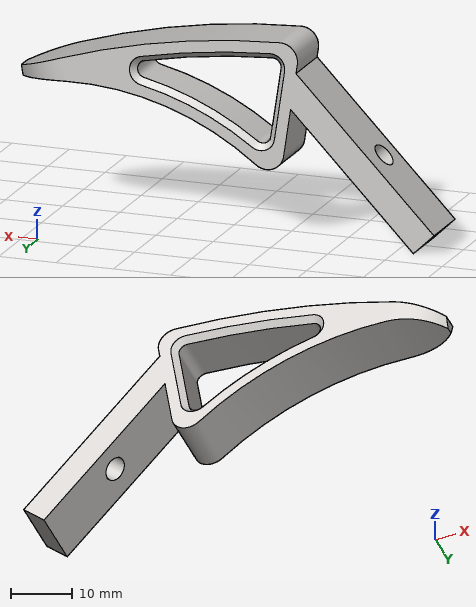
import cadquery as cq
import math

width = 10.0
tip_x = 73.4

back_top = (23.35, 33.7)
crown_middle = (52.8, 30.4)
tip_top = (tip_x, 23.9)
tip_bottom = (tip_x, 21.9)
belly_middle = (50.6, 21.65)
back_bottom = (27.1, 8.8)
head_corner_radius = 3.0

wall = 2.0
window_corner_radius = 2.5
window_chamfer = 1.0

arm_angle = 46.3
arm_thickness = 5.0
arm_length = 35.95
hole_diameter = 4.0
hole_distance = 15.5
hole_y = -0.4

rounding_start = (65.5, 26.7)
rounding_tilt = 19.0
rounding_radius = 11.6


def head_outline():
    """Closed head outline with sharp corners, in the XZ plane."""
    return (
        cq.Workplane("XZ")
        .moveTo(*back_top)
        .threePointArc(crown_middle, tip_top)
        .lineTo(*tip_bottom)
        .threePointArc(belly_middle, back_bottom)
        .close()
    )


def make_head():
    head = head_outline().extrude(width / 2, both=True)
    return head.edges("|Y").edges("<X or <Z").fillet(head_corner_radius)


def make_window():
    """Narrow throat of the window, running parallel to the head outline."""
    throat = head_outline().offset2D(-wall - window_chamfer, "intersection").extrude(width / 2, both=True)
    return throat.edges("|Y").fillet(window_corner_radius - window_chamfer)


def chamfer_window(body):
    """Chamfer the window rim on both side faces."""
    rim = []
    for side in ("<Y", ">Y"):
        for wire in body.faces(side).val().innerWires():
            rim.extend(wire.Edges())
    return body.newObject(rim).chamfer(window_chamfer)


def make_arm():
    """Bar that rises from the lower end into the back wall of the head."""
    angle = math.radians(arm_angle)
    upper_face = cq.Plane(
        origin=(0, 0, arm_thickness * math.cos(angle)),
        xDir=(math.cos(angle), 0, math.sin(angle)),
        normal=(-math.sin(angle), 0, math.cos(angle)),
    )
    bar = (
        cq.Workplane(upper_face)
        .center(arm_length / 2, 0)
        .rect(arm_length, width)
        .extrude(-arm_thickness)
    )
    hole = (
        cq.Workplane(upper_face)
        .center(hole_distance, hole_y)
        .circle(hole_diameter / 2)
        .extrude(-arm_thickness)
    )
    return bar.cut(hole)


def make_tip_envelope():
    """Block whose end is rounded across the width by two tangent arcs."""
    tilt = math.radians(rounding_tilt)
    tip_plane = cq.Plane(
        origin=(rounding_start[0], 0, rounding_start[1]),
        xDir=(math.cos(tilt), 0, -math.sin(tilt)),
        normal=(math.sin(tilt), 0, math.cos(tilt)),
    )
    half_width = width / 2
    centre_offset = rounding_radius - half_width
    point_x = math.sqrt(rounding_radius**2 - centre_offset**2)
    half_sweep = math.asin(point_x / rounding_radius) / 2
    middle_x = rounding_radius * math.sin(half_sweep)
    middle_y = rounding_radius * math.cos(half_sweep) - centre_offset
    return (
        cq.Workplane(tip_plane)
        .moveTo(-tip_x, -half_width)
        .lineTo(0, -half_width)
        .threePointArc((middle_x, -middle_y), (point_x, 0))
        .threePointArc((middle_x, middle_y), (0, half_width))
        .lineTo(-tip_x, half_width)
        .close()
        .extrude(tip_x, both=True)
    )


head = make_head().intersect(make_tip_envelope())
body = head.union(make_arm()).clean().cut(make_window())
result = chamfer_window(body)